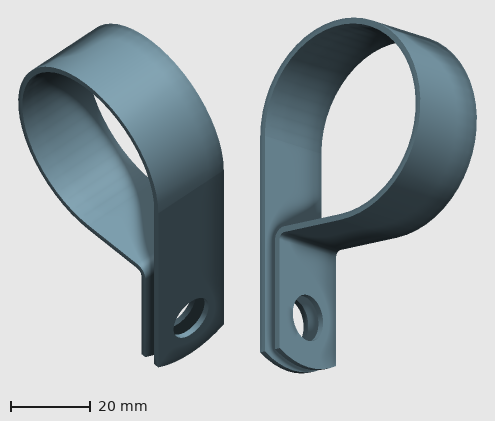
import cadquery as cq
import math

total_height = 84.85
loop_radius = 26.1
thickness = 1.5
width = 22.2
leg_gap = 3.3
bend_inner_radius = 1.5
hole_diameter = 11.9
hole_height = 12.8
tip_rise = 2.6

bore_radius = loop_radius - thickness
bend_outer_radius = bend_inner_radius + thickness
tip_z = loop_radius - total_height
inner_leg_right = bore_radius - leg_gap
inner_leg_left = inner_leg_right - thickness
bend_x = inner_leg_right - bend_outer_radius
bend_z = -bore_radius - bend_outer_radius
diagonal = math.sqrt(0.5)


def make_strap():
    """Bent strip: outer leg, three-quarter loop, flat, bend and inner leg."""
    profile = (
        cq.Workplane("XZ")
        .moveTo(loop_radius, tip_z)
        .lineTo(loop_radius, 0)
        .threePointArc((-loop_radius * diagonal, loop_radius * diagonal), (0, -loop_radius))
        .lineTo(bend_x, -loop_radius)
        .threePointArc(
            (bend_x + bend_inner_radius * diagonal, bend_z + bend_inner_radius * diagonal),
            (inner_leg_left, bend_z),
        )
        .lineTo(inner_leg_left, tip_z)
        .lineTo(inner_leg_right, tip_z)
        .lineTo(inner_leg_right, bend_z)
        .threePointArc(
            (bend_x + bend_outer_radius * diagonal, bend_z + bend_outer_radius * diagonal),
            (bend_x, -bore_radius),
        )
        .lineTo(0, -bore_radius)
        .threePointArc((-bore_radius * diagonal, bore_radius * diagonal), (bore_radius, 0))
        .lineTo(bore_radius, tip_z)
        .close()
    )
    return profile.extrude(width / 2, both=True)


def make_side_outline():
    """Full-length block whose lower end is rounded across the width."""
    return (
        cq.Workplane("YZ")
        .moveTo(-width / 2, loop_radius)
        .lineTo(-width / 2, tip_z + tip_rise)
        .threePointArc((0, tip_z), (width / 2, tip_z + tip_rise))
        .lineTo(width / 2, loop_radius)
        .close()
        .extrude(loop_radius, both=True)
    )


def make_bolt_hole():
    """Cylinder passing through both legs."""
    return (
        cq.Workplane("YZ")
        .center(0, tip_z + hole_height)
        .circle(hole_diameter / 2)
        .extrude(loop_radius, both=True)
    )


result = make_strap().intersect(make_side_outline()).cut(make_bolt_hole())